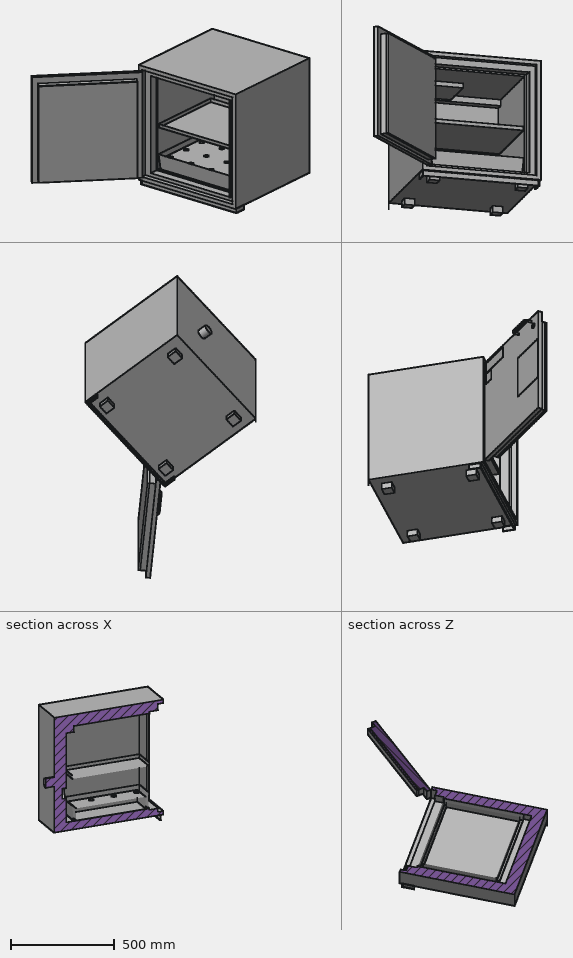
import cadquery as cq
import math

WIDTH = 595.0
DEPTH = 575.0
HEIGHT = 599.0
RAIL = 20.0
RECESS_DEPTH = 28.0
OPENING_SIDE = 53.0
OPENING_BOTTOM = 39.0
OPENING_DEPTH = 72.0
CHAMBER_STEP = 9.0
CHAMBER_BACK = 512.0
LIP_THICKNESS = 1.0
LIP_LENGTH = 9.0
SILL_HEIGHT = 7.0
SILL_SETBACK = 2.0

CHAMBER_LEFT = OPENING_SIDE + CHAMBER_STEP
CHAMBER_RIGHT = WIDTH - CHAMBER_LEFT
CHAMBER_TOP = HEIGHT - OPENING_SIDE - CHAMBER_STEP
CHAMBER_FLOOR = OPENING_BOTTOM + SILL_HEIGHT
CHAMBER_MIDDLE = WIDTH / 2

REAR_DUCT_DEPTH = 41.0
REAR_DUCT_HEIGHT = 31.0
SIDE_DUCT_DEPTH = 205.0
SIDE_DUCT_WIDTH = 220.0
SIDE_DUCT_HEIGHT = 23.0

AIR_DIAMETER = 50.0
AIR_HOLE_OFFSET = 115.0
AIR_HOLE_HEIGHT = 197.0
AIR_HOLE_DEPTH = 20.0
PIPE_LENGTH = 45.0
PIPE_HEIGHT = 265.0

FOOT_SIZE = 50.0
FOOT_HEIGHT = 32.0
FOOT_SPACING = 443.0
FOOT_FRONT = 50.0
FOOT_BACK_GAP = 51.0
PIN_SIZE = 1.0
PLINTH_SIDE_GAP = 4.0
PLINTH_FRONT = 11.0
PLINTH_LENGTH = 61.0
PLINTH_HEIGHT = 27.0
PLINTH_WALL = 5.0

SHEET = 1.0
DRAFT = math.tan(math.radians(5))
PAN_SIDE_GAP = 2.0
PAN_FRONT = 73.0
PAN_BACK = 481.0
SHELF_TOP = 284.0
SHELF_HEIGHT = 19.0
TRAY_TOP = 126.0
INSERT_DROP = 16.0
INSERT_INSET = 20.0
HOLE_DIAMETER = 25.0
HOLE_COLUMNS = 4
HOLE_ROWS = 3
HOLE_PITCH_X = 124.0
HOLE_PITCH_Y = 120.0
FIRST_ROW = 110.0

DOOR_HINGE_X = 23.0
DOOR_HINGE_Y = -1.0
DOOR_LENGTH = 536.0
DOOR_BOTTOM = 25.0
DOOR_TOP = 575.0
PANEL_THICKNESS = 22.0
CORE_END = 51.0
LINER_END = 61.0
CORE_INSET = 29.0
CORE_BOTTOM = 40.0
CORE_TOP = 543.0
LABEL_RAISE = 1.0
LABELS = [
    (13.0, 184.0, 508.0, 565.0),
    (13.0, 68.0, 448.0, 505.0),
    (332.0, 534.0, 200.0, 419.0),
]
LOCK_POSITION = 488.0
LOCK_HEIGHT = 517.0
LOCK_DIAMETER = 25.0
LOCK_RAISE = 2.0

HANDLE_DIAMETER = 10.0
HANDLE_START = 341.0
HANDLE_END = 469.0
HANDLE_HEIGHT = 551.0
HANDLE_STANDOFF = 34.0
HANDLE_BEND = 15.0

DOOR_PLANE = cq.Plane(
    origin=(DOOR_HINGE_X, DOOR_HINGE_Y, 0), xDir=(-1, -1, 0), normal=(-1, 1, 0)
)


def block(x0, x1, y0, y1, z0, z1):
    """Box between two opposite corners."""
    return cq.Workplane().box(x1 - x0, y1 - y0, z1 - z0, centered=False).translate((x0, y0, z0))


def make_cabinet():
    body = block(0, WIDTH, 0, DEPTH, 0, HEIGHT)
    body = body.cut(block(RAIL, WIDTH - RAIL, 0, RECESS_DEPTH, RAIL, HEIGHT - RAIL))
    opening_right = WIDTH - OPENING_SIDE
    opening_top = HEIGHT - OPENING_SIDE
    body = body.cut(
        block(OPENING_SIDE, opening_right, 0, OPENING_DEPTH, OPENING_BOTTOM, opening_top)
    )
    body = body.cut(
        block(CHAMBER_LEFT, CHAMBER_RIGHT, 0, CHAMBER_BACK, OPENING_BOTTOM, CHAMBER_TOP)
    )
    lip = block(
        opening_right, opening_right + LIP_THICKNESS,
        RECESS_DEPTH - LIP_LENGTH, RECESS_DEPTH, OPENING_BOTTOM, opening_top,
    )
    sill = block(
        CHAMBER_LEFT, CHAMBER_RIGHT,
        OPENING_DEPTH + SILL_SETBACK, CHAMBER_BACK, OPENING_BOTTOM, CHAMBER_FLOOR,
    )
    body = body.union(lip).union(sill).union(make_ducts())
    return body.cut(make_air_holes()).union(make_pipe()).union(make_feet())


def make_ducts():
    """Full-width duct at the rear of the ceiling, with a side duct in front of it."""
    rear_front = CHAMBER_BACK - REAR_DUCT_DEPTH
    rear = block(
        CHAMBER_LEFT, CHAMBER_RIGHT, rear_front, CHAMBER_BACK,
        CHAMBER_TOP - REAR_DUCT_HEIGHT, CHAMBER_TOP,
    )
    side = block(
        CHAMBER_LEFT, CHAMBER_LEFT + SIDE_DUCT_WIDTH, rear_front - SIDE_DUCT_DEPTH, rear_front,
        CHAMBER_TOP - SIDE_DUCT_HEIGHT, CHAMBER_TOP,
    )
    return rear.union(side)


def make_air_holes():
    return (
        cq.Workplane("XZ", origin=(CHAMBER_MIDDLE, CHAMBER_BACK, AIR_HOLE_HEIGHT))
        .pushPoints([(-AIR_HOLE_OFFSET, 0), (AIR_HOLE_OFFSET, 0)])
        .circle(AIR_DIAMETER / 2)
        .extrude(-AIR_HOLE_DEPTH)
    )


def make_feet():
    """Four square feet, and a thin pin under the rear left corner."""
    feet = block(0, PIN_SIZE, DEPTH - PIN_SIZE, DEPTH, -FOOT_HEIGHT, 0)
    left = (WIDTH - FOOT_SPACING - FOOT_SIZE) / 2
    for x in (left, left + FOOT_SPACING):
        for y in (FOOT_FRONT, DEPTH - FOOT_BACK_GAP - FOOT_SIZE):
            feet = feet.add(block(x, x + FOOT_SIZE, y, y + FOOT_SIZE, -FOOT_HEIGHT, 0))
    return feet.combine()


def make_pipe():
    return (
        cq.Workplane("XZ", origin=(CHAMBER_MIDDLE + AIR_HOLE_OFFSET, DEPTH, PIPE_HEIGHT))
        .circle(AIR_DIAMETER / 2)
        .extrude(-PIPE_LENGTH)
    )


def make_plinth():
    """U-shaped skirt: a front panel with a return at each end."""
    left = PLINTH_SIDE_GAP
    right = WIDTH - PLINTH_SIDE_GAP
    back = PLINTH_FRONT + PLINTH_LENGTH
    inside = block(
        left + PLINTH_WALL, right - PLINTH_WALL, PLINTH_FRONT + PLINTH_WALL, back, -PLINTH_HEIGHT, 0
    )
    return block(left, right, PLINTH_FRONT, back, -PLINTH_HEIGHT, 0).cut(inside)


def drafted_block(rim, margin, top, bottom):
    """Block below a pan rim, its sides leaning inwards downwards and set in by a margin."""
    def section(z):
        inset = PAN_SIDE_GAP + margin + (rim - z) * DRAFT
        width = CHAMBER_RIGHT - CHAMBER_LEFT - 2 * inset
        length = PAN_BACK - PAN_FRONT - 2 * (inset - PAN_SIDE_GAP)
        return width, length

    center = (CHAMBER_MIDDLE, (PAN_FRONT + PAN_BACK) / 2, bottom)
    return (
        cq.Workplane("XY", origin=center)
        .rect(*section(bottom))
        .workplane(offset=top - bottom)
        .rect(*section(top))
        .loft(ruled=True)
    )


def make_pan(rim, bottom):
    inside = drafted_block(rim, SHEET, rim, bottom + SHEET)
    return drafted_block(rim, 0, rim, bottom).cut(inside)


def make_insert():
    """Perforated tray cover: an upside-down pan standing on the tray floor."""
    left = CHAMBER_LEFT + PAN_SIDE_GAP + INSERT_INSET
    right = CHAMBER_RIGHT - PAN_SIDE_GAP - INSERT_INSET
    front = PAN_FRONT + INSERT_INSET
    back = PAN_BACK - INSERT_INSET
    bottom = CHAMBER_FLOOR + SHEET
    top = TRAY_TOP - INSERT_DROP
    inside = block(
        left + SHEET, right - SHEET, front + SHEET, back - SHEET, bottom, top - SHEET
    )
    grid_middle = FIRST_ROW + HOLE_PITCH_Y * (HOLE_ROWS - 1) / 2
    holes = (
        cq.Workplane("XY", origin=(CHAMBER_MIDDLE, grid_middle, top))
        .rarray(HOLE_PITCH_X, HOLE_PITCH_Y, HOLE_COLUMNS, HOLE_ROWS)
        .circle(HOLE_DIAMETER / 2)
        .extrude(-SHEET)
    )
    return block(left, right, front, back, bottom, top).cut(inside).cut(holes)


def door_plate(start, end, bottom, top, depth, thickness):
    """Plate parallel to the door, running outwards from a depth behind the outer face."""
    return (
        cq.Workplane(DOOR_PLANE)
        .workplane(offset=-depth)
        .center((start + end) / 2, (bottom + top) / 2)
        .rect(end - start, top - bottom)
        .extrude(thickness)
    )


def core_plate(depth, thickness):
    """Plate with the outline of the door core."""
    core_end = DOOR_LENGTH - CORE_INSET
    return door_plate(CORE_INSET, core_end, CORE_BOTTOM, CORE_TOP, depth, thickness)


def make_door():
    """Outer panel and core, with raised label plates and a lock on the outer face."""
    door = door_plate(0, DOOR_LENGTH, DOOR_BOTTOM, DOOR_TOP, PANEL_THICKNESS, PANEL_THICKNESS)
    door = door.union(core_plate(CORE_END, CORE_END - PANEL_THICKNESS))
    for label in LABELS:
        door = door.union(door_plate(*label, 0, LABEL_RAISE))
    lock = (
        cq.Workplane(DOOR_PLANE)
        .center(LOCK_POSITION, LOCK_HEIGHT)
        .circle(LOCK_DIAMETER / 2)
        .extrude(LOCK_RAISE)
    )
    return door.union(lock)


def make_liner():
    """Inner cover plate on the back of the door core."""
    return core_plate(LINER_END, LINER_END - CORE_END)


def make_handle():
    """Round bar bent into a U, standing on the outer face of the door."""
    flat = cq.Plane(
        origin=DOOR_PLANE.toWorldCoords((0, HANDLE_HEIGHT, 0)).toTuple(),
        xDir=DOOR_PLANE.xDir,
        normal=(0, 0, -1),
    )
    straight = HANDLE_STANDOFF - HANDLE_BEND
    path = (
        cq.Workplane(flat)
        .moveTo(HANDLE_START, 0)
        .lineTo(HANDLE_START, straight)
        .tangentArcPoint((HANDLE_START + HANDLE_BEND, HANDLE_STANDOFF), relative=False)
        .lineTo(HANDLE_END - HANDLE_BEND, HANDLE_STANDOFF)
        .tangentArcPoint((HANDLE_END, straight), relative=False)
        .lineTo(HANDLE_END, 0)
    )
    return (
        cq.Workplane(DOOR_PLANE)
        .center(HANDLE_START, HANDLE_HEIGHT)
        .circle(HANDLE_DIAMETER / 2)
        .sweep(path)
    )


cabinet = make_cabinet()
plinth = make_plinth()
shelf = make_pan(SHELF_TOP, SHELF_TOP - SHELF_HEIGHT)
tray = make_pan(TRAY_TOP, CHAMBER_FLOOR)
insert = make_insert()
door = make_door()
liner = make_liner()
handle = make_handle()

result = cq.Compound.makeCompound([
    cabinet.val(), plinth.val(), shelf.val(), tray.val(),
    insert.val(), door.val(), liner.val(), handle.val(),
])